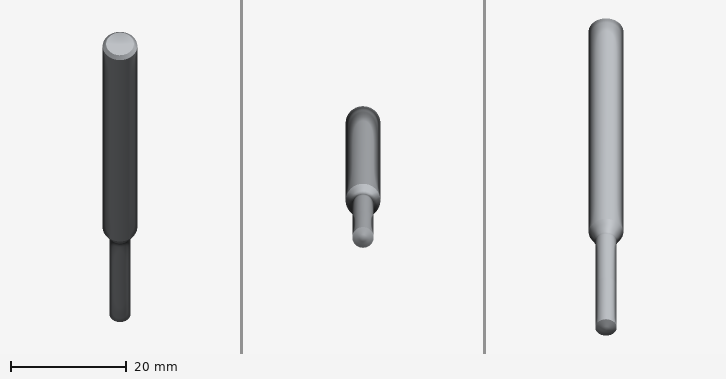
import cadquery as cq
import math


shank_diameter = 6.0
drill_diameter = 3.7
point_angle = 140.0
body_length = 80.0
cutting_length = 11.2
neck_length = 11.9
shoulder_half_angle = 25.0
end_chamfer = 0.6

shank_radius = shank_diameter / 2
drill_radius = drill_diameter / 2
point_height = drill_radius / math.tan(math.radians(point_angle / 2))
shoulder_height = (shank_radius - drill_radius) / math.tan(math.radians(shoulder_half_angle))
joint_z = point_height + cutting_length
shoulder_bottom_z = joint_z + neck_length
shoulder_top_z = shoulder_bottom_z + shoulder_height
shank_end_z = point_height + body_length


def turned(outline):
    """Revolve (radius, height) points about Z, with the seam on the -Y side."""
    points = [(-radius, height) for radius, height in outline]
    return cq.Workplane("YZ").polyline(points).close().revolve(360, (0, 0, 0), (0, 1, 0))


cutting_head = turned([
    (0, 0),
    (drill_radius, point_height),
    (drill_radius, joint_z),
    (0, joint_z),
])

shank = turned([
    (0, joint_z),
    (drill_radius, joint_z),
    (drill_radius, shoulder_bottom_z),
    (shank_radius, shoulder_top_z),
    (shank_radius, shank_end_z - end_chamfer),
    (shank_radius - end_chamfer, shank_end_z),
    (0, shank_end_z),
])

result = cq.Compound.makeCompound([cutting_head.val(), shank.val()])